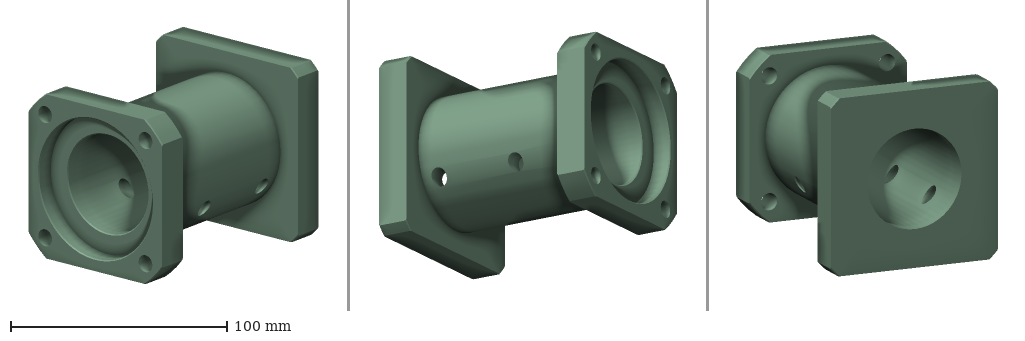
import cadquery as cq

total_length = 111
flange_thickness = 15.0
edge_chamfer = 0.5

front_flange_side = 80.0
front_corner_diameter = 100.0
rear_flange_side = 85.0
rear_corner_diameter = 114.8

tube_diameter = 64.0
bore_diameter = 48.0
counterbore_diameter = 68.0
counterbore_depth = 9.0

mount_hole_diameter = 8.2
mount_hole_spacing = 60.0

cross_hole_diameter = 8.0
cross_hole_drop = 15.0
rear_cross_hole_setback = 24.0
cross_hole_spacing = 42.0


def cylinder(diameter, length, start_y):
    """Cylinder on the tube axis, from start_y toward +Y."""
    plane = cq.Workplane("XZ", origin=(0, start_y, 0))
    return plane.circle(diameter / 2).extrude(-length)


def flange(side, corner_diameter, start_y):
    """Square plate whose round corners carry chamfers left from the turned disc."""
    disc = cylinder(corner_diameter, flange_thickness, start_y).edges().chamfer(edge_chamfer)
    plate = cq.Workplane("XZ", origin=(0, start_y, 0)).rect(side, side).extrude(-flange_thickness)
    return plate.intersect(disc)


def entry_chamfer(diameter, start_y):
    """Cone that breaks the edge of a bore opening toward -Y at start_y."""
    radius = diameter / 2
    return (
        cq.Workplane("XY")
        .moveTo(0, start_y)
        .lineTo(radius + edge_chamfer, start_y)
        .lineTo(radius, start_y + edge_chamfer)
        .lineTo(0, start_y + edge_chamfer)
        .close()
        .revolve(360, (0, 0, 0), (0, 1, 0))
    )


result = (
    cylinder(tube_diameter, total_length, 0)
    .union(flange(front_flange_side, front_corner_diameter, 0))
    .union(flange(rear_flange_side, rear_corner_diameter, total_length - flange_thickness))
)

result = (
    result.cut(cylinder(bore_diameter, total_length, 0))
    .cut(cylinder(counterbore_diameter, counterbore_depth, 0))
    .cut(entry_chamfer(counterbore_diameter, 0))
    .cut(entry_chamfer(bore_diameter, counterbore_depth))
)

mount_holes = (
    cq.Workplane("XZ")
    .rect(mount_hole_spacing, mount_hole_spacing, forConstruction=True)
    .vertices()
    .circle(mount_hole_diameter / 2)
    .extrude(-flange_thickness)
)
result = result.cut(mount_holes)

rear_cross_hole_y = total_length - rear_cross_hole_setback
cross_holes = (
    cq.Workplane("YZ")
    .pushPoints(
        [
            (rear_cross_hole_y, -cross_hole_drop),
            (rear_cross_hole_y - cross_hole_spacing, -cross_hole_drop),
        ]
    )
    .circle(cross_hole_diameter / 2)
    .extrude(tube_diameter / 2, both=True)
)
result = result.cut(cross_holes)